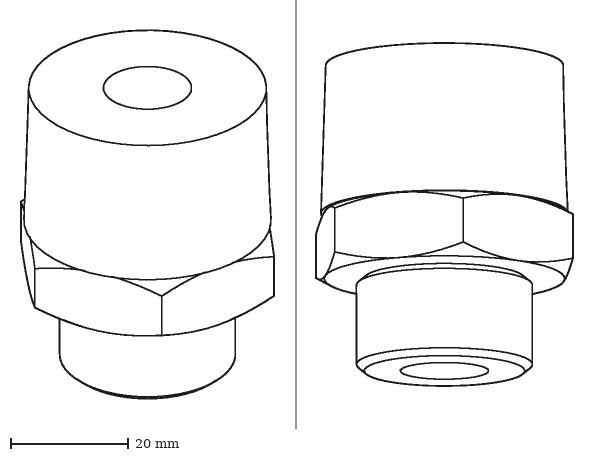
import cadquery as cq
import math

total_height = 53.0
hex_bottom = 16.0
hex_top = 27.3

taper_base_diameter = 42.15
taper_ratio = 1 / 16
taper_top_diameter = taper_base_diameter - taper_ratio * (total_height - hex_top)

hex_corner_diameter = 47.35
hex_flat_width = hex_corner_diameter * math.cos(math.radians(30))
hex_chamfer_angle = 30.0

spigot_diameter = 30.0
spigot_chamfer_width = 1.3
spigot_chamfer_height = 1.1
bore_diameter = 15.0


def revolve_profile(points):
    """Revolve a closed (radius, height) outline about the Z axis."""
    return cq.Workplane("XZ").polyline(points).close().revolve(360, (0, 0), (0, 1))


def make_spigot():
    """Straight cylinder, chamfered at both ends."""
    radius = spigot_diameter / 2
    end_radius = radius - spigot_chamfer_width
    return revolve_profile([
        (0, 0),
        (end_radius, 0),
        (radius, spigot_chamfer_height),
        (radius, hex_bottom - spigot_chamfer_height),
        (end_radius, hex_bottom),
        (0, hex_bottom),
    ])


def make_hexagon():
    """Hexagon with corners on the Y axis, its corners cut by a cone at each end."""
    prism = (
        cq.Workplane("XY", origin=(0, 0, hex_bottom))
        .transformed(rotate=(0, 0, 90))
        .polygon(6, hex_corner_diameter)
        .extrude(hex_top - hex_bottom)
    )
    face_radius = hex_flat_width / 2
    corner_radius = hex_corner_diameter / 2
    drop = (corner_radius - face_radius) * math.tan(math.radians(hex_chamfer_angle))
    envelope = revolve_profile([
        (0, hex_bottom),
        (face_radius, hex_bottom),
        (corner_radius, hex_bottom + drop),
        (corner_radius, hex_top - drop),
        (face_radius, hex_top),
        (0, hex_top),
    ])
    return prism.intersect(envelope)


def make_taper():
    """Upper body, narrowing towards the top."""
    return revolve_profile([
        (0, hex_top),
        (taper_base_diameter / 2, hex_top),
        (taper_top_diameter / 2, total_height),
        (0, total_height),
    ])


bore = cq.Workplane("XY").circle(bore_diameter / 2).extrude(total_height)
result = make_spigot().union(make_hexagon()).union(make_taper()).cut(bore)